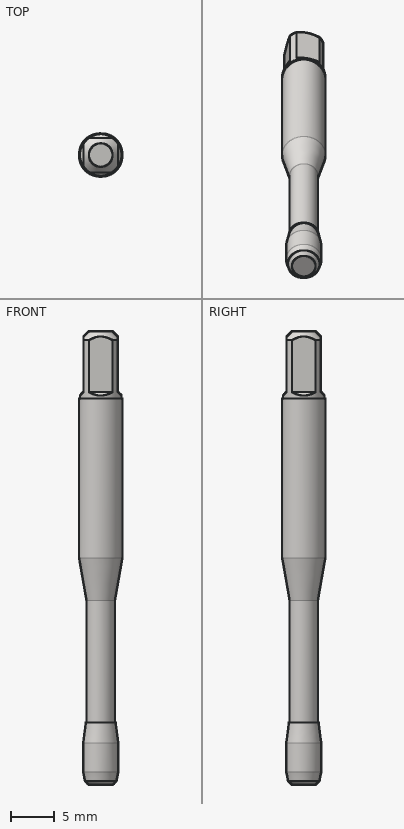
import cadquery as cq

total_length = 52.1
body_diameter = 5.0
drive_diameter = 4.8
neck_diameter = 3.3
body_bottom = 26.05
body_top = 44.35
taper_bottom = 21.15
drive_top_diameter = 2.7

across_flats = 3.95
flat_bottom = 45.1

tip_diameter = 4.05
tip_top_diameter = 3.45
tip_lead_diameter = 3.65
tip_end_diameter = 2.7
tip_top = 7.2
tip_cylinder_top = 4.8
tip_cylinder_bottom = 1.5
tip_lead_bottom = 0.45


def revolve_profile(profile):
    """Turn (diameter, height) pairs, listed from bottom to top, into a solid about Z."""
    bottom = profile[0][1]
    top = profile[-1][1]
    edge = [(diameter / 2, height) for diameter, height in profile]
    outline = [(0, bottom), *edge, (0, top)]
    return cq.Workplane("XZ").polyline(outline).close().revolve(360, (0, 0), (0, 1))


def flat_cutter():
    """Material removed for the +X flat, with a 45 degree slope at its lower end."""
    flat = across_flats / 2
    outer = body_diameter
    outline = [
        (flat, flat_bottom),
        (outer, flat_bottom - (outer - flat)),
        (outer, total_length),
        (flat, total_length),
    ]
    return cq.Workplane("XZ").polyline(outline).close().extrude(body_diameter / 2, both=True)


def make_shank():
    nose_height = (drive_diameter - drive_top_diameter) / 2
    shank = revolve_profile([
        (neck_diameter, tip_top),
        (neck_diameter, taper_bottom),
        (body_diameter, body_bottom),
        (body_diameter, body_top),
        (drive_diameter, body_top),
        (drive_diameter, total_length - nose_height),
        (drive_top_diameter, total_length),
    ])
    for angle in (0, 90, 180, 270):
        shank = shank.cut(flat_cutter().rotate((0, 0, 0), (0, 0, 1), angle))
    return shank


def make_tip():
    return revolve_profile([
        (tip_end_diameter, 0),
        (tip_lead_diameter, tip_lead_bottom),
        (tip_diameter, tip_cylinder_bottom),
        (tip_diameter, tip_cylinder_top),
        (tip_top_diameter, tip_top),
    ])


shank = make_shank()
tip = make_tip()

result = cq.Compound.makeCompound([shank.val(), tip.val()])